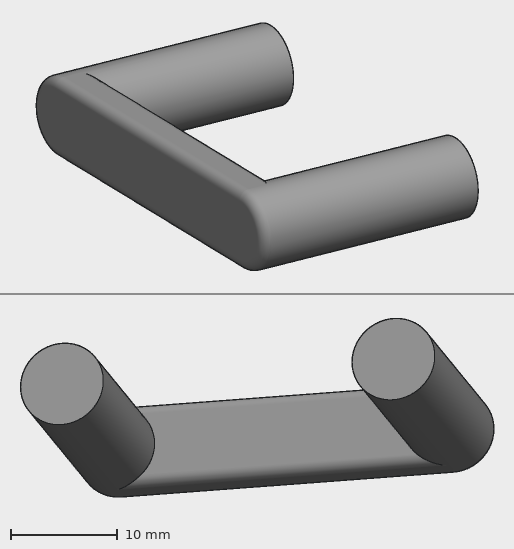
import cadquery as cq

length = 40.0
depth = 24.0
leg_diameter = 8.0
leg_spacing = length - leg_diameter

grip_thickness = 4.0
edge_radius = 1.0


def make_grip():
    """Straight bar between the leg axes, with rounded rear edges."""
    bar = cq.Workplane("XY").box(
        leg_spacing, grip_thickness, leg_diameter, centered=(True, False, True)
    )
    return bar.edges("|X and >Y").fillet(edge_radius)


def make_leg(x):
    """Round leg running from the front face to the rear."""
    return (
        cq.Workplane("XZ")
        .center(x, 0)
        .circle(leg_diameter / 2)
        .extrude(-depth)
    )


handle = make_grip()
for side in (-1, 1):
    handle = handle.union(make_leg(side * leg_spacing / 2))

result = handle.faces("<Y").edges().fillet(edge_radius)